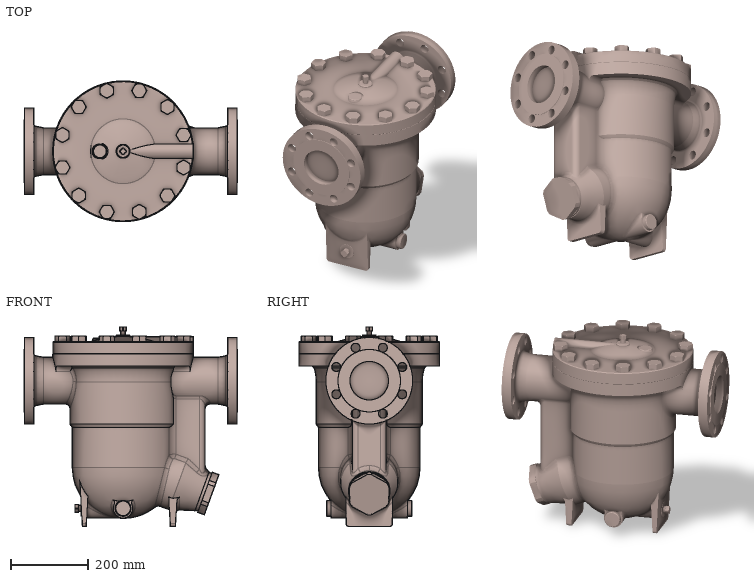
import cadquery as cq
import math


hex_sides = 6
square_sides = 4
seam_tolerance = 0.01

pipe_dia = 122.0
left_face_x = -257.0
right_face_x = 297.0
pipe_flange_dia = 225.0
pipe_flange_thickness = 26.0
raised_face_dia = 162.0
raised_face_height = 1.5
port_dia = 100.0
port_depth = 20.0
pipe_hole_count = 8
pipe_hole_dia = 23.0
pipe_hole_circle_dia = 185.0
hub_dia = 130.0
hub_round = 5.0
hub_taper_length = 20.0

flange_dia = 365.0
flange_bottom_z = 38.0
flange_joint_z = 69.5
cover_top_z = 101.0
joint_chamfer = 1.0
cover_edge_chamfer = 2.0
neck_top_dia = 286.0
neck_bottom_z = -3.0
neck_bulge = 1.5
neck_round = 5.0
neck_top_z = flange_bottom_z - neck_round
upper_dia = 276.0
step_top_z = -112.5
step_bottom_z = -121.0
lower_dia = 264.0
dome_center_z = -225.0
pad_fillet = 10.0
pipe_seam_fillet = 10.0

crown_dia = 168.0
crown_height = 14.0
rib_dia = 40.0
rib_axis_z = 94.5
bolt_count = 12
bolt_circle_dia = 325.0
bolt_first_angle = 15.0
bolt_across_flats = 34.0
bolt_head_height = 15.0
bolt_chamfer = 1.5
vent_washer_dia = 36.0
vent_washer_top_z = 119.0
vent_washer_chamfer = 2.0
vent_neck_dia = 12.5
vent_head_bottom_z = 129.0
vent_head_top_z = 139.5
vent_head_dia = 17.5
vent_head_flats = 14.0
cap_plug_x = -60.0
cap_plug_dia = 36.0
cap_plug_top_z = 110.3
cap_plug_chamfer = 1.5
cap_plug_seat_dia = 42.0
cap_plug_seat_z = 108.5

passage_half_width = 44.0
passage_end_x = 213.0
passage_end_round = 15.0
passage_body_fillet = 20.0
passage_bottom_z = -255.0
passage_pipe_fillet = 12.0

strainer_tilt = 20.0
strainer_origin_z = -212.0
strainer_dia = 148.0
strainer_cone_start = 153.0
strainer_cone_end = 218.0
strainer_cone_end_dia = 108.0
strainer_spigot_dia = 105.05
strainer_cap_start = 226.0
strainer_cap_end = 244.5
strainer_cap_dia = 111.0
strainer_cap_across_flats = 101.5
strainer_fillet = 16.0

foot_bottom_z = -378.5
foot_half_width = 60.0
foot_corner_round = 8.0
left_foot_x = -100.4
left_foot_thickness = 10.2
left_foot_top_z = -240.0
right_foot_x = 129.2
right_foot_thickness = 13.6
right_foot_top_z = -280.0
foot_draft = 3.0
foot_fillet = 8.0
drain_axis_z = -331.0
drain_boss_dia = 50.0
drain_boss_half_length = 98.5
drain_cap_dia = 41.0
drain_cap_half_length = 111.0
drain_cap_chamfer = 1.5
drain_fillet = 8.0
plug_pad_dia = 40.0
plug_pad_x = -109.5
plug_neck_dia = 17.0
plug_head_inner_x = -115.0
plug_head_outer_x = -125.0
plug_head_dia = 20.5
plug_head_flats = 16.5


def cylinder_z(dia, bottom_z, top_z, x=0.0):
    return cq.Workplane("XY", origin=(x, 0, bottom_z)).circle(dia / 2).extrude(top_z - bottom_z)


def cylinder_x(dia, start_x, end_x, z=0.0):
    return cq.Workplane("YZ", origin=(start_x, 0, z)).circle(dia / 2).extrude(end_x - start_x)


def rounded_head(sides, dia, flats, height):
    """A polygonal head standing on XY, its corners rounded to a circle and one of them along +X."""
    across_corners = flats / math.cos(math.pi / sides)
    head = cq.Workplane("XY").polygon(sides, across_corners).extrude(height)
    return head.intersect(cylinder_z(dia, 0, height))


def bolt_head():
    """A hexagonal head standing on XY, with a corner along +X and its top corners bevelled."""
    across_corners = bolt_across_flats / math.cos(math.pi / hex_sides)
    head = cq.Workplane("XY").polygon(hex_sides, across_corners).extrude(bolt_head_height)
    bevel = cylinder_z(across_corners, 0, bolt_head_height).faces(">Z").chamfer(bolt_chamfer)
    return head.intersect(bevel)


def join(first, second):
    """Fuses two shapes and also gives the edges along which their surfaces meet."""
    joined = first.union(second)
    shells = first.vals()[0].Shells() + second.vals()[0].Shells()
    seam = []
    for edge in joined.edges().vals():
        middle = cq.Vertex.makeVertex(*edge.positionAt(0.5).toTuple())
        if all(middle.distance(shell) < seam_tolerance for shell in shells):
            seam.append(edge)
    return joined, seam


def round_edges(shape, edges, radius):
    return shape.newObject([shape.vals()[0].fillet(radius, edges)])


def make_body():
    """Body flange, neck, stepped barrel and hemispherical bottom, turned about Z."""
    upper_r = upper_dia / 2
    lower_r = lower_dia / 2
    neck_r = neck_top_dia / 2
    neck_mid = ((upper_r + neck_r) / 2 - neck_bulge, (neck_bottom_z + neck_top_z) / 2)
    slant = lower_r * math.sqrt(0.5)
    profile = (
        cq.Workplane("XZ")
        .moveTo(0, flange_joint_z)
        .lineTo(flange_dia / 2, flange_joint_z)
        .lineTo(flange_dia / 2, flange_bottom_z)
        .lineTo(neck_r + neck_round, flange_bottom_z)
        .lineTo(neck_r, neck_top_z)
        .threePointArc(neck_mid, (upper_r, neck_bottom_z))
        .lineTo(upper_r, step_top_z)
        .lineTo(lower_r, step_bottom_z)
        .lineTo(lower_r, dome_center_z)
        .threePointArc((slant, dome_center_z - slant), (0, dome_center_z - lower_r))
        .close()
    )
    return profile.revolve(360, (0, 0, 0), (0, 1, 0))


def make_passage():
    """Vertical wall-sided passage from the pipe down to the strainer boss."""
    body_r = lower_dia / 2
    center_y = passage_half_width + passage_body_fillet
    center_x = math.sqrt((body_r + passage_body_fillet) ** 2 - center_y**2)
    touch = body_r / (body_r + passage_body_fillet)
    touch_x = center_x * touch
    touch_y = center_y * touch
    to_touch = math.atan2(touch_y - center_y, touch_x - center_x)
    mid_angle = (to_touch - math.pi / 2) / 2
    mid_x = center_x + passage_body_fillet * math.cos(mid_angle)
    mid_y = center_y + passage_body_fillet * math.sin(mid_angle)
    outline = (
        cq.Workplane("XY", origin=(0, 0, passage_bottom_z))
        .moveTo(touch_x, touch_y)
        .threePointArc((mid_x, mid_y), (center_x, passage_half_width))
        .lineTo(passage_end_x, passage_half_width)
        .lineTo(passage_end_x, -passage_half_width)
        .lineTo(center_x, -passage_half_width)
        .threePointArc((mid_x, -mid_y), (touch_x, -touch_y))
        .lineTo(0, -touch_y)
        .lineTo(0, touch_y)
        .close()
    )
    passage = outline.extrude(-passage_bottom_z)
    return passage.edges("|Z and >X").fillet(passage_end_round)


def along_strainer(shape):
    """Moves a shape built along +Z onto the strainer axis."""
    tilted = shape.rotate((0, 0, 0), (0, 1, 0), 90 + strainer_tilt)
    return tilted.translate((0, 0, strainer_origin_z))


def make_strainer_boss():
    profile = (
        cq.Workplane("XZ")
        .lineTo(-strainer_dia / 2, 0)
        .lineTo(-strainer_dia / 2, strainer_cone_start)
        .lineTo(-strainer_cone_end_dia / 2, strainer_cone_end)
        .lineTo(-strainer_spigot_dia / 2, strainer_cone_end)
        .lineTo(-strainer_spigot_dia / 2, strainer_cap_start)
        .lineTo(0, strainer_cap_start)
        .close()
    )
    return along_strainer(profile.revolve(360, (0, 0, 0), (0, 1, 0)))


def make_strainer_cap():
    height = strainer_cap_end - strainer_cap_start
    cap = rounded_head(hex_sides, strainer_cap_dia, strainer_cap_across_flats, height)
    return along_strainer(cap.translate((0, 0, strainer_cap_start)))


def make_pipe_pad():
    """Fills the corner between the flange underside and the pipe with concave rounds."""
    pipe_r = pipe_dia / 2
    center_z = flange_bottom_z - pad_fillet
    center_y = math.sqrt((pipe_r + pad_fillet) ** 2 - center_z**2)
    touch_y = center_y * pipe_r / (pipe_r + pad_fillet)
    touch_z = center_z * pipe_r / (pipe_r + pad_fillet)
    to_touch = math.atan2(touch_z - center_z, touch_y - center_y) + 2 * math.pi
    mid_angle = (to_touch + math.pi / 2) / 2
    mid_y = center_y + pad_fillet * math.cos(mid_angle)
    mid_z = center_z + pad_fillet * math.sin(mid_angle)
    outline = (
        cq.Workplane("YZ", origin=(-flange_dia / 2, 0, 0))
        .moveTo(touch_y, touch_z)
        .threePointArc((mid_y, mid_z), (center_y, flange_bottom_z))
        .lineTo(-center_y, flange_bottom_z)
        .threePointArc((-mid_y, mid_z), (-touch_y, touch_z))
        .close()
    )
    return outline.extrude(flange_dia).intersect(cylinder_z(flange_dia, 0, flange_bottom_z))


def make_pipe_end(face_x, inward):
    """Flange with raised face and tapered hub; inward is the X direction toward the body."""
    back = pipe_flange_thickness
    hub_r = hub_dia / 2
    hub_start = back + hub_round
    profile = (
        cq.Workplane("XY")
        .lineTo(0, raised_face_dia / 2)
        .lineTo(raised_face_height, raised_face_dia / 2)
        .lineTo(raised_face_height, pipe_flange_dia / 2)
        .lineTo(back, pipe_flange_dia / 2)
        .lineTo(back, hub_r + hub_round)
        .radiusArc((hub_start, hub_r), -hub_round)
        .lineTo(hub_start + hub_taper_length, pipe_dia / 2)
        .lineTo(hub_start + hub_taper_length, 0)
        .close()
    )
    end = profile.revolve(360, (0, 0, 0), (1, 0, 0))
    holes = (
        cq.Workplane("YZ")
        .polarArray(pipe_hole_circle_dia / 2, 180 / pipe_hole_count, 360, pipe_hole_count)
        .circle(pipe_hole_dia / 2)
        .extrude(back)
    )
    end = end.cut(holes)
    if inward < 0:
        end = end.mirror("YZ")
    return end.translate((face_x, 0, 0))


def make_port(face_x, inward):
    return cylinder_x(port_dia, face_x, face_x + inward * port_depth)


def make_cover():
    cover = cylinder_z(flange_dia, flange_joint_z, cover_top_z)
    cover = cover.faces(">Z").chamfer(cover_edge_chamfer).faces("<Z").chamfer(joint_chamfer)
    crown_r = crown_dia / 2
    crown = (
        cq.Workplane("XZ")
        .moveTo(0, cover_top_z)
        .lineTo(crown_r, cover_top_z)
        .radiusArc((0, cover_top_z + crown_height), -(crown_r**2 + crown_height**2) / (2 * crown_height))
        .close()
        .revolve(360, (0, 0, 0), (0, 1, 0))
    )
    rib = cylinder_x(rib_dia, 0, flange_dia / 2, rib_axis_z)
    cover = cover.union(crown).union(rib)
    seat = (
        cq.Workplane("XY", origin=(cap_plug_x, 0, cover_top_z))
        .circle(cap_plug_seat_dia / 2)
        .workplane(offset=cap_plug_seat_z - cover_top_z)
        .circle(cap_plug_dia / 2)
        .loft()
    )
    seat_clearance = cylinder_z(cap_plug_seat_dia, cap_plug_seat_z, cover_top_z + crown_height, cap_plug_x)
    cap_plug = cylinder_z(cap_plug_dia, cover_top_z, cap_plug_top_z, cap_plug_x)
    cap_plug = cap_plug.faces(">Z").chamfer(cap_plug_chamfer)
    return cover.union(seat).cut(seat_clearance).union(cap_plug)


def make_vent():
    washer = cylinder_z(vent_washer_dia, cover_top_z, vent_washer_top_z)
    washer = washer.faces(">Z").chamfer(vent_washer_chamfer)
    neck = cylinder_z(vent_neck_dia, cover_top_z, vent_head_bottom_z)
    head = rounded_head(square_sides, vent_head_dia, vent_head_flats, vent_head_top_z - vent_head_bottom_z)
    return washer.union(neck).union(head.translate((0, 0, vent_head_bottom_z)))


def make_bolts():
    bolt = bolt_head().translate((bolt_circle_dia / 2, 0, cover_top_z))
    bolt = bolt.rotate((bolt_circle_dia / 2, 0, 0), (bolt_circle_dia / 2, 0, 1), -bolt_first_angle)
    bolts = cq.Workplane("XY")
    for index in range(bolt_count):
        angle = bolt_first_angle + index * 360 / bolt_count
        bolts = bolts.union(bolt.rotate((0, 0, 0), (0, 0, 1), angle))
    return bolts


def make_foot(center_x, thickness, top_z):
    """Foot plate that thickens upward by the draft on both faces."""
    height = top_z - foot_bottom_z
    spread = height * math.tan(math.radians(foot_draft))
    half = thickness / 2
    foot = (
        cq.Workplane("XZ", origin=(center_x, foot_half_width, 0))
        .moveTo(-half, foot_bottom_z)
        .lineTo(half, foot_bottom_z)
        .lineTo(half + spread, top_z)
        .lineTo(-half - spread, top_z)
        .close()
        .extrude(2 * foot_half_width)
    )
    return foot.edges("|X and <Z").fillet(foot_corner_round)


def make_drain():
    """Drain bosses under the body: capped ones along Y, and one along X that ends in the left foot."""
    boss = (
        cq.Workplane("XZ", origin=(0, drain_boss_half_length, drain_axis_z))
        .circle(drain_boss_dia / 2)
        .extrude(2 * drain_boss_half_length)
    )
    caps = (
        cq.Workplane("XZ", origin=(0, drain_cap_half_length, drain_axis_z))
        .circle(drain_cap_dia / 2)
        .extrude(2 * drain_cap_half_length)
        .faces("|Y")
        .chamfer(drain_cap_chamfer)
    )
    side_boss = cylinder_x(drain_boss_dia, left_foot_x, 0, drain_axis_z)
    return boss.union(caps).union(side_boss)


def make_drain_plug():
    pad = cylinder_x(plug_pad_dia, plug_pad_x, left_foot_x, drain_axis_z)
    neck = cylinder_x(plug_neck_dia, plug_head_inner_x, left_foot_x, drain_axis_z)
    head = rounded_head(square_sides, plug_head_dia, plug_head_flats, plug_head_inner_x - plug_head_outer_x)
    head = head.rotate((0, 0, 0), (0, 1, 0), 90).translate((plug_head_outer_x, 0, drain_axis_z))
    return pad.union(neck).union(head)


def make_casting():
    """Body, pipe, passage, strainer boss, feet and drain, with the seams between them rounded."""
    casting, seam = join(make_body().union(make_passage()), make_strainer_boss())
    casting = round_edges(casting, seam, strainer_fillet)

    left_pipe = cylinder_x(pipe_dia, left_face_x + pipe_flange_thickness, 0)
    casting, seam = join(casting, left_pipe)
    below_flange = [edge for edge in seam if edge.Center().z < neck_top_z]
    casting = round_edges(casting, below_flange, pipe_seam_fillet)

    right_pipe = cylinder_x(pipe_dia, 0, right_face_x - pipe_flange_thickness)
    casting, seam = join(casting, right_pipe)
    end_corner_x = passage_end_x - passage_end_round
    passage_end = [edge for edge in seam if edge.Center().x > end_corner_x and edge.Center().z < 0]
    casting = round_edges(casting, passage_end, passage_pipe_fillet)

    casting, seam = join(casting, make_foot(left_foot_x, left_foot_thickness, left_foot_top_z))
    outermost = min(seam, key=lambda edge: edge.Center().x)
    casting = round_edges(casting, [outermost], foot_fillet)
    casting, seam = join(casting, make_foot(right_foot_x, right_foot_thickness, right_foot_top_z))
    outermost = max(seam, key=lambda edge: edge.Center().x)
    casting = round_edges(casting, [outermost], foot_fillet)

    casting, seam = join(casting, make_drain())
    boss_seams = [edge for edge in seam if edge.Length() > 2 * drain_boss_dia]
    casting = round_edges(casting, boss_seams, drain_fillet)
    return casting.union(make_pipe_pad())


result = make_casting()
for extra in (
    make_strainer_cap(),
    make_cover(),
    make_vent(),
    make_bolts(),
    make_drain_plug(),
    make_pipe_end(left_face_x, 1),
    make_pipe_end(right_face_x, -1),
):
    result = result.union(extra)
result = result.cut(make_port(left_face_x, 1)).cut(make_port(right_face_x, -1))